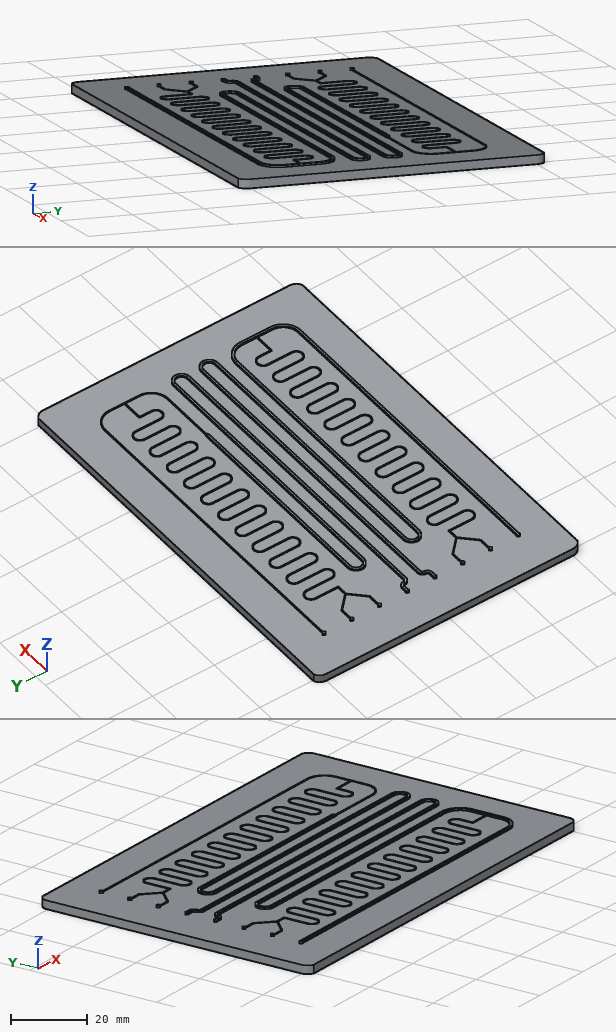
import cadquery as cq
plate_length = 124.5
plate_width = 85.5
blank_width = 86.0
corner_radius = 3.0
total_height = 3.0
ridge_height = 0.5
plate_thickness = total_height - ridge_height

fine_width = 0.2
fine_height = 0.1
wide_width = 0.7
port_diameter = 1.0
root_depth = 0.6

port_x = -49.7
outer_port_y = 31.5
port_pitch = outer_port_y / 3.5
port_rows = [outer_port_y - row * port_pitch for row in range(4)]
outlet_y = port_rows[3]

bend_radius = port_pitch / 4
inner_run_y = bend_radius
middle_run_y = 3 * bend_radius
outer_run_y = 5 * bend_radius
right_bend_x = 49.4
left_bend_x = -33.2
jog_x = -46.8
jog_radius = (outlet_y - inner_run_y) / 2

collector_x = right_bend_x + bend_radius
collector_radius = 5.2
collector_arc_x = collector_x - collector_radius

taper_start_x = 28.8
taper_length = 1.2

inlet_y = (port_rows[1] + port_rows[2]) / 2
fork_x = -45.3
junction_x = fork_x + port_pitch / 2

serpentine_bends = 22
serpentine_start_x = -37.6
serpentine_end_x = 45.0
leg_pitch = (serpentine_end_x - serpentine_start_x) / serpentine_bends
serpentine_mid_y = (outer_port_y + outer_run_y) / 2
half_leg = 4.0


def plate():
    blank = cq.Workplane("XY").box(plate_length, blank_width, plate_thickness, centered=(True, True, False))
    trim = cq.Workplane("XY").box(plate_length, plate_width, plate_thickness, centered=(True, True, False))
    return blank.edges("|Z").fillet(corner_radius).intersect(trim)


def path_from(x, y):
    """Begin a ridge centreline on the top face of the plate."""
    return cq.Workplane("XY", origin=(0, 0, plate_thickness)).moveTo(x, y)


def ridge_section(x, y, width, height):
    """Ridge cross-section facing +X, with its root inside the plate."""
    plane = cq.Plane(origin=(x, y, plate_thickness), xDir=(0, 1, 0), normal=(1, 0, 0))
    return cq.Workplane(plane).center(0, (height - root_depth) / 2).rect(width, height + root_depth)


def fine_ridge(path, start):
    return ridge_section(*start, fine_width, fine_height).sweep(path, transition="right")


def wide_ridge(path, start):
    return ridge_section(*start, wide_width, ridge_height).sweep(path, transition="right")


def add_collector(path):
    """Continue from the outer port row round the right end to the outer run."""
    return (
        path.lineTo(collector_arc_x, outer_port_y)
        .tangentArcPoint((collector_x, outer_port_y - collector_radius), relative=False)
        .lineTo(collector_x, outer_run_y + collector_radius)
        .tangentArcPoint((collector_arc_x, outer_run_y), relative=False)
    )


def add_loop(path):
    """Continue along the outer run, through both U-bends and the jog, to the outlet."""
    return (
        path.lineTo(left_bend_x, outer_run_y)
        .tangentArcPoint((left_bend_x, middle_run_y), relative=False)
        .lineTo(right_bend_x, middle_run_y)
        .tangentArcPoint((right_bend_x, inner_run_y), relative=False)
        .lineTo(jog_x + jog_radius, inner_run_y)
        .tangentArcPoint((jog_x, inner_run_y + jog_radius), relative=False)
        .tangentArcPoint((jog_x - jog_radius, outlet_y), relative=False)
        .lineTo(port_x, outlet_y)
    )


def serpentine():
    start = (junction_x, inlet_y)
    path = path_from(*start).lineTo(serpentine_start_x, inlet_y)
    for bend in range(serpentine_bends):
        x = serpentine_start_x + bend * leg_pitch
        side = 1 if bend % 2 == 0 else -1
        y = serpentine_mid_y + side * half_leg
        path = path.lineTo(x, y).tangentArcPoint((x + leg_pitch, y), relative=False)
    path = path.lineTo(serpentine_end_x, serpentine_mid_y).lineTo(collector_x, serpentine_mid_y)
    return fine_ridge(path, start)


def inlet_branch(port_y):
    start = (port_x, port_y)
    path = path_from(*start).lineTo(fork_x, port_y).lineTo(junction_x, inlet_y)
    return fine_ridge(path, start)


def port_pin(port_y):
    base = cq.Workplane("XY", origin=(port_x, port_y, plate_thickness - root_depth))
    return base.circle(port_diameter / 2).extrude(root_depth + ridge_height)


def mixer_features():
    """Serpentine, inlets and port pins on the +Y half; the -Y half mirrors them."""
    branches = [inlet_branch(y) for y in (port_rows[1], port_rows[2])]
    pins = [port_pin(y) for y in port_rows]
    return [serpentine()] + branches + pins


def fine_collector():
    start = (port_x, outer_port_y)
    path = add_collector(path_from(*start)).lineTo(taper_start_x + taper_length, outer_run_y)
    return fine_ridge(path, start)


def taper():
    wide_end = ridge_section(taper_start_x, outer_run_y, wide_width, ridge_height)
    return (
        wide_end.workplane(offset=taper_length)
        .center(0, (fine_height - ridge_height) / 2)
        .rect(fine_width, fine_height + root_depth)
        .loft(ruled=True)
    )


def short_loop():
    """Wide ridge from the taper to the outlet."""
    start = (taper_start_x, outer_run_y)
    return wide_ridge(add_loop(path_from(*start)), start)


def long_loop():
    """Wide ridge all the way from the outer port to the outlet."""
    start = (port_x, outer_port_y)
    return wide_ridge(add_loop(add_collector(path_from(*start))), start)


upper_half = mixer_features() + [fine_collector(), taper(), short_loop()]
lower_half = mixer_features() + [long_loop()]

result = plate()
for feature in upper_half:
    result = result.union(feature)
for feature in lower_half:
    result = result.union(feature.mirror("XZ"))